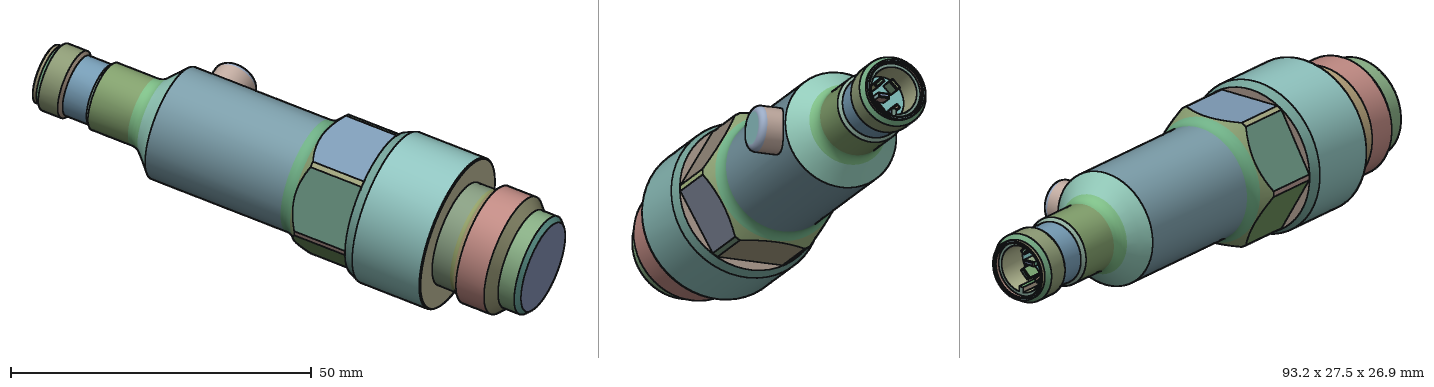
import cadquery as cq
import math

LENGTH = 93.2

TIP_D = 10.4
SHANK_D = 12.0
NECK_D = 10.8
RIM_CHAMFER_END = 1.5
RIM_END = 5.1
NECK_END = 10.8

BODY_D = 20.0
BODY_START = 23.7
BODY_END = 49.1
BLEND_R = 3.3

HEX_FLATS = 22.3
HEX_CORNER_D = 25.2
HEX_END = 62.6

COLLAR_D = 26.9
COLLAR_NOSE_D = 25.35
COLLAR_NOSE_LENGTH = 1.8
COLLAR_END = 77.2
COLLAR_END_CHAMFER = 0.2

GROOVE_D = 18.4
GROOVE_BLEND_START = 80.5
GROOVE_BLEND_R = 1.2
THREAD_D = 21.0
THREAD_END = 87.6
TAIL_D = 17.5
TAIL_CHAMFER = 0.8

BUTTON_D = 7.8
BUTTON_X = 28.4
OVERALL_WIDTH = 27.5
BUTTON_TOP = OVERALL_WIDTH - COLLAR_D / 2
BUTTON_FILLET = 1.1

MOUTH_D = 9.4
MOUTH_DEPTH = 0.9
LIP_CHAMFER = 0.2
CAVITY_D = 8.2
CAVITY_DEPTH = 6.5
KEY_WIDTH = 0.8
KEY_INNER_R = 3.2
BLADE_WIDTH = 2.0
BLADE_THICKNESS = 0.8
BLADE_START = 3.7
BLADE_TAPER = 0.2
BLADE_ROOT = 0.5
BLADE_Y = 1.4
BLADE_Z = 2.1
BLADE_TILT = 45
CENTRE_BLADE_Y = 0.6

BLEND_RUN = math.sin(math.radians(45))
BLEND_RISE = 1 - math.cos(math.radians(45))
HALF_RUN = math.sin(math.radians(22.5))
HALF_RISE = 1 - math.cos(math.radians(22.5))


def flare(profile, x, radius, end_radius, blend):
    """Widen from a cylinder at x by a concave blend and a 45 degree cone."""
    middle = (x + blend * HALF_RUN, radius + blend * HALF_RISE)
    cone_start = (x + blend * BLEND_RUN, radius + blend * BLEND_RISE)
    cone_end = (cone_start[0] + end_radius - cone_start[1], end_radius)
    return profile.threePointArc(middle, cone_start).lineTo(*cone_end)


def turned(profile):
    """Close a half profile on the X axis and revolve it."""
    return profile.close().revolve(360, (0, 0, 0), (1, 0, 0))


def front_end():
    """Plug, body and chamfered round stock of the hexagon."""
    tip_r = TIP_D / 2
    shank_r = SHANK_D / 2
    neck_r = NECK_D / 2
    body_r = BODY_D / 2
    step = shank_r - neck_r
    blend_rise = BLEND_R * BLEND_RISE
    shank_end = BODY_START - (body_r - shank_r - blend_rise) - BLEND_R * BLEND_RUN
    profile = (
        cq.Workplane("XY")
        .lineTo(0, tip_r)
        .lineTo(RIM_CHAMFER_END - (shank_r - tip_r), tip_r)
        .lineTo(RIM_CHAMFER_END, shank_r)
        .lineTo(RIM_END, shank_r)
        .lineTo(RIM_END + step, neck_r)
        .lineTo(NECK_END - step, neck_r)
        .lineTo(NECK_END, shank_r)
        .lineTo(shank_end, shank_r)
    )
    profile = flare(profile, shank_end, shank_r, body_r, BLEND_R)
    profile = profile.lineTo(BODY_END, body_r)
    profile = flare(profile, BODY_END, body_r, HEX_CORNER_D / 2, BLEND_R)
    profile = profile.lineTo(HEX_END, HEX_CORNER_D / 2).lineTo(HEX_END, 0)
    return turned(profile)


def hexagon_prism():
    """Hexagon with flats facing +Z and -Z, long enough to trim the whole front end."""
    across_corners = HEX_FLATS / math.cos(math.radians(30))
    return cq.Workplane("YZ").polygon(6, across_corners).extrude(HEX_END)


def rear_end():
    """Collar, groove, thread and tail."""
    collar_r = COLLAR_D / 2
    groove_r = GROOVE_D / 2
    thread_r = THREAD_D / 2
    tail_r = TAIL_D / 2
    profile = (
        cq.Workplane("XY")
        .moveTo(HEX_END, 0)
        .lineTo(HEX_END, COLLAR_NOSE_D / 2)
        .lineTo(HEX_END + COLLAR_NOSE_LENGTH, collar_r)
        .lineTo(COLLAR_END - COLLAR_END_CHAMFER, collar_r)
        .lineTo(COLLAR_END, collar_r - COLLAR_END_CHAMFER)
        .lineTo(COLLAR_END, groove_r)
        .lineTo(GROOVE_BLEND_START, groove_r)
    )
    profile = flare(profile, GROOVE_BLEND_START, groove_r, thread_r, GROOVE_BLEND_R)
    profile = (
        profile.lineTo(THREAD_END, thread_r)
        .lineTo(THREAD_END + thread_r - tail_r, tail_r)
        .lineTo(LENGTH - TAIL_CHAMFER, tail_r)
        .lineTo(LENGTH, tail_r - TAIL_CHAMFER)
        .lineTo(LENGTH, 0)
    )
    return turned(profile)


def button():
    """Round button standing out of the body toward +Y."""
    return (
        cq.Workplane("XZ", origin=(BUTTON_X, 0, 0))
        .circle(BUTTON_D / 2)
        .extrude(-BUTTON_TOP)
        .faces(">Y")
        .edges()
        .fillet(BUTTON_FILLET)
    )


def cavity():
    """Blind bore with a wider mouth and a chamfered lip."""
    cavity_r = CAVITY_D / 2
    mouth_r = MOUTH_D / 2
    profile = (
        cq.Workplane("XY")
        .lineTo(0, mouth_r + LIP_CHAMFER)
        .lineTo(LIP_CHAMFER, mouth_r)
        .lineTo(MOUTH_DEPTH, mouth_r)
        .lineTo(MOUTH_DEPTH, cavity_r)
        .lineTo(CAVITY_DEPTH, cavity_r)
        .lineTo(CAVITY_DEPTH, 0)
    )
    return turned(profile)


def key():
    """Coding rib along the lower wall of the cavity, sunk into the wall."""
    outer_r = MOUTH_D / 2
    return (
        cq.Workplane("YZ", origin=(MOUTH_DEPTH, 0, -(KEY_INNER_R + outer_r) / 2))
        .rect(KEY_WIDTH, outer_r - KEY_INNER_R)
        .extrude(CAVITY_DEPTH - MOUTH_DEPTH)
    )


def blade(y, z, tilt):
    """Flat contact with a tapered tip on the cavity floor, turned by tilt about its own axis."""
    return (
        cq.Workplane("YZ", origin=(BLADE_START, y, z))
        .transformed(rotate=(0, 0, tilt))
        .rect(BLADE_WIDTH, BLADE_THICKNESS)
        .extrude(CAVITY_DEPTH + BLADE_ROOT - BLADE_START)
        .faces("<X")
        .chamfer(BLADE_TAPER)
    )


result = front_end().intersect(hexagon_prism())
result = result.union(rear_end()).union(button())
result = result.cut(cavity()).union(key())

result = result.union(blade(CENTRE_BLADE_Y, 0, 0))
for side in (-1, 1):
    for level in (-1, 1):
        tilt = -BLADE_TILT * side * level
        result = result.union(blade(side * BLADE_Y, level * BLADE_Z, tilt))